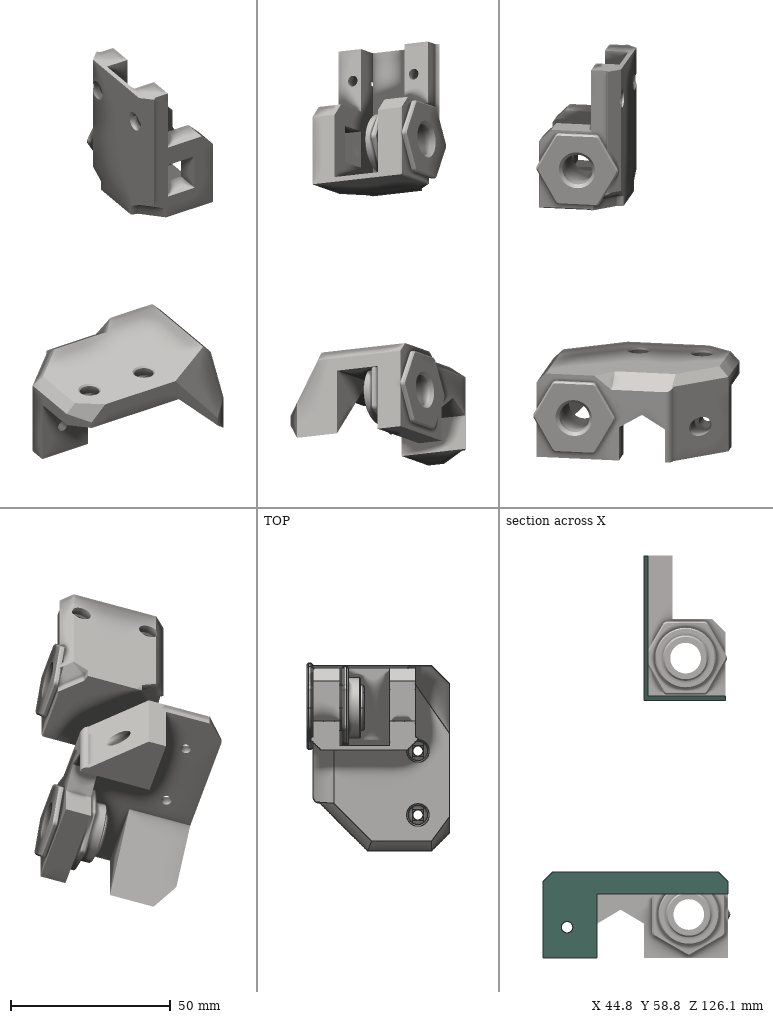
import cadquery as cq
import math

LARGE = 252.2
SCREW_HEAD_D = 6.0
SCREW_D = 3.4

HEX_FLATS = 23.0
HEX_CORNER_R = 1.6
HEX_BEVEL = 0.5
HEAD_THICKNESS = 1.9
SHANK_D = 14.2
SHANK_LENGTH = 16.1
SHANK_BEVEL = 0.5
BUSHING_BORE_D = 9.6
BUSHING_MOUTH_D = 11.6
NUT_START = 9.2
NUT_THICKNESS = 1.9
COLLAR_D = 19.0
COLLAR_LENGTH = 3.9
COLLAR_BEVEL = 0.4
COLLAR_END = NUT_START + NUT_THICKNESS + COLLAR_LENGTH
LOWER_NUT_TURN = 30
UPPER_NUT_TURN = 0

LOWER_LENGTH = 42.9
LOWER_DEPTH = 58.0
LOWER_HEIGHT = 27.1
LOWER_AXIS_Y = 45.8
LOWER_AXIS_Z = 13.6
PLATE_UNDERSIDE = 20.0
LOWER_WALL = 8.2
LEG_LENGTH = 22.8
LEG_CORNER = 17.1
LEG_ROUND_R = 2.3
LEG_INNER_Y = 17.0
END_CORNER = 5.7
TOP_CHAMFER = 3.0
SIDE_SLOPE_WIDTH = 6.5
SIDE_SLOPE_DROP = 4.3
SIDE_SLOPE_END_Y = 34.2
SIDE_BLEND_END_Y = 39.6
NOTCH_OUTER_Y = 31.8
NOTCH_SIDE_Z = 10.7
NOTCH_PEAK_Z = 15.1
FRONT_FACET_RUN = 7.7
REAR_FACET_START_X = 28.0
REAR_FACET_WALL_X = 29.8
REAR_FACET_END_Y = 36.7
PLATE_HOLE_X = 32.9
PLATE_HOLE_YS = (11.2, 31.3)
PLATE_HOLE_MOUTH_D = 7.0
PLATE_HOLE_D = 3.2
PLATE_HEAD_DEPTH = 3.2
BRIDGE_STEP = 0.3
LEG_HOLE_Y = 7.6
LEG_HOLE_Z = 9.7
LEG_HOLE_FLOOR_X = 16.4

UPPER_WIDTH = 32.2
UPPER_FRONT_Y = 31.5
UPPER_BACK_Y = 57.2
UPPER_BOTTOM = 80.7
UPPER_TOP = 126.1
BASE_TOP = 106.2
UPPER_AXIS_Y = 44.8
UPPER_AXIS_Z = 94.0
BASE_CHAMFER = 4.0
POST_BACK_Y = 40.6
POCKET_START_X = 8.5
POCKET_END_X = 24.1
PANEL_THICKNESS = 1.5
RAIL_OVERHANG = 1.0
RAIL_TIP_Y = 35.0
RAIL_STEP_Y = 35.8
RAIL_FRONT_X = 2.5
FOOT_SIDE_Y = 40.0
FOOT_KNEE = (6.5, 33.7)
FOOT_FRONT_X = 7.2
FOOT_TOP = 83.9
RAIL_ROOT_EDGE = 0.3
RAIL_BOTTOM = 86.8
FOOT_BEVEL = 0.4
UPPER_HOLE_OFFSET = 11.0
UPPER_HOLE_Z = 116.1
UPPER_HEAD_DEPTH = 2.5
WINDOW_HALF = 5.8


def block(x0, x1, y0, y1, z0, z1):
    """Axis-aligned box between the given limits."""
    return cq.Workplane("XY").box(x1 - x0, y1 - y0, z1 - z0, centered=False).translate((x0, y0, z0))


def along_x(profile, x0, x1):
    """Prism from x0 to x1 with a closed (y, z) profile."""
    return cq.Workplane("YZ", origin=(x0, 0, 0)).polyline(profile).close().extrude(x1 - x0)


def along_y(profile, y0, y1):
    """Prism from y0 to y1 with a closed (x, z) profile."""
    return cq.Workplane("XZ", origin=(0, y0, 0)).polyline(profile).close().extrude(y0 - y1)


def rod_x(diameter, x0, x1, y, z):
    """Cylinder parallel to X."""
    return cq.Workplane("YZ", origin=(x0, y, z)).circle(diameter / 2).extrude(x1 - x0)


def half_space(p1, p2, p3):
    """Large block on the side of the plane through three points that their order faces."""
    a, b, c = cq.Vector(*p1), cq.Vector(*p2), cq.Vector(*p3)
    plane = cq.Plane(origin=p1, xDir=b - a, normal=(b - a).cross(c - a))
    return cq.Workplane(plane).rect(LARGE, LARGE).extrude(LARGE)



def hex_prism(thickness, x0, y, z, turn=0):
    """Hexagon with rounded corners, one of them along Y before it is turned about X by some degrees."""
    return (
        cq.Workplane("YZ", origin=(x0, y, z))
        .transformed(rotate=(0, 0, turn))
        .polygon(6, HEX_FLATS / math.cos(math.pi / 6))
        .extrude(thickness)
        .edges("|X").fillet(HEX_CORNER_R)
    )


def hex_plate(thickness, x0, y, z, turn=0):
    """Hexagon with bevelled rims."""
    return hex_prism(thickness, x0, y, z, turn).faces("<X or >X").chamfer(HEX_BEVEL)


def bushing_half(y, z, side):
    """Half of a hex-headed bushing, on the side (+1 or -1) of the split along Y."""
    shank = rod_x(SHANK_D, 0, SHANK_LENGTH, y, z).faces(">X").chamfer(SHANK_BEVEL)
    whole = hex_plate(HEAD_THICKNESS, -HEAD_THICKNESS, y, z).union(shank)
    whole = whole.cut(rod_x(BUSHING_BORE_D, -HEAD_THICKNESS, SHANK_LENGTH, y, z))
    mouth_depth = (BUSHING_MOUTH_D - BUSHING_BORE_D) / 2
    mouth = cq.Solid.makeCone(
        BUSHING_MOUTH_D / 2, BUSHING_BORE_D / 2, mouth_depth,
        cq.Vector(-HEAD_THICKNESS, y, z), cq.Vector(1, 0, 0),
    )
    whole = whole.cut(cq.Workplane(mouth))
    y_limits = sorted((y, y + side * HEX_FLATS))
    keep = block(-HEAD_THICKNESS, SHANK_LENGTH, *y_limits, z - HEX_FLATS, z + HEX_FLATS)
    return whole.intersect(keep)


def make_nut(y, z, turn):
    """Hex nut with a round collar, on the bushing shank."""
    collar = rod_x(COLLAR_D, NUT_START, COLLAR_END, y, z).faces(">X").chamfer(COLLAR_BEVEL)
    nut = hex_plate(NUT_THICKNESS, NUT_START, y, z, turn).union(collar)
    return nut.cut(rod_x(SHANK_D, NUT_START, COLLAR_END, y, z))



def lower_outline():
    """Full-height prism of the bracket seen in plan."""
    round_mid = LEG_ROUND_R * (1 - math.cos(math.pi / 4))
    return (
        cq.Workplane("XY")
        .moveTo(0, LOWER_DEPTH)
        .lineTo(0, LEG_CORNER)
        .threePointArc(
            (round_mid, LEG_CORNER - LEG_ROUND_R + round_mid),
            (LEG_ROUND_R, LEG_CORNER - LEG_ROUND_R),
        )
        .lineTo(LEG_CORNER, 0)
        .lineTo(LOWER_LENGTH - END_CORNER, 0)
        .lineTo(LOWER_LENGTH, END_CORNER)
        .lineTo(LOWER_LENGTH, LOWER_DEPTH - END_CORNER)
        .lineTo(LOWER_LENGTH - END_CORNER, LOWER_DEPTH)
        .close()
        .extrude(LOWER_HEIGHT)
    )


def cut_underside(body):
    """Leave a wall, a leg and a 45 degree gusset under the top plate."""
    cavity = block(LOWER_WALL, LEG_LENGTH, LEG_INNER_Y, LOWER_DEPTH, 0, PLATE_UNDERSIDE)
    notch = along_x(
        [
            (LEG_INNER_Y, 0),
            (LEG_INNER_Y, NOTCH_SIDE_Z),
            ((LEG_INNER_Y + NOTCH_OUTER_Y) / 2, NOTCH_PEAK_Z),
            (NOTCH_OUTER_Y, NOTCH_SIDE_Z),
            (NOTCH_OUTER_Y, 0),
        ],
        0, LEG_LENGTH,
    )
    below_gusset = along_x(
        [(0, 0), (0, PLATE_UNDERSIDE), (LOWER_DEPTH - PLATE_UNDERSIDE, PLATE_UNDERSIDE), (LOWER_DEPTH, 0)],
        LEG_LENGTH, LOWER_LENGTH,
    )
    return body.cut(cavity).cut(notch).cut(below_gusset)


def cut_top_slopes(body):
    """Chamfers, end facets and the blended slope around the top face."""
    top = LOWER_HEIGHT
    drop = top - TOP_CHAMFER
    far_corner = LOWER_LENGTH - END_CORNER

    front = half_space((0, 0, drop), (1.3, 0, drop), (0, TOP_CHAMFER, top))
    rear = half_space((1.3, LOWER_DEPTH, drop), (0, LOWER_DEPTH, drop), (0, LOWER_DEPTH - TOP_CHAMFER, top))
    inset = TOP_CHAMFER / math.sqrt(2)
    leg_corner = half_space(
        (0, LEG_CORNER, drop), (LEG_CORNER, 0, drop), (inset, LEG_CORNER + inset, top)
    )
    front_facet = half_space(
        (far_corner, 0, drop),
        (LOWER_LENGTH, TOP_CHAMFER + FRONT_FACET_RUN, top),
        (far_corner, TOP_CHAMFER, top),
    )
    rear_facet = half_space(
        (REAR_FACET_WALL_X, LOWER_DEPTH, drop),
        (REAR_FACET_START_X, LOWER_DEPTH, top),
        (LOWER_LENGTH, REAR_FACET_END_Y, top),
    )
    slope = along_y(
        [(0, top - SIDE_SLOPE_DROP), (SIDE_SLOPE_WIDTH, top), (0, top)],
        0, SIDE_BLEND_END_Y,
    )
    blend = half_space(
        (0, SIDE_BLEND_END_Y, top),
        (0, SIDE_SLOPE_END_Y, top - SIDE_SLOPE_DROP),
        (SIDE_SLOPE_WIDTH, SIDE_SLOPE_END_Y, top),
    )
    for trim in (front, rear, leg_corner, front_facet, rear_facet, slope.intersect(blend)):
        body = body.cut(trim)
    return body


def plate_hole(y):
    """Screw hole through the plate: bevelled head recess, slot layer, square layer, hole."""
    floor = LOWER_HEIGHT - PLATE_HEAD_DEPTH
    start = cq.Workplane("XY", origin=(PLATE_HOLE_X, y, 0))
    head = start.workplane(offset=floor).circle(SCREW_HEAD_D / 2).extrude(PLATE_HEAD_DEPTH)
    bevel_depth = (PLATE_HOLE_MOUTH_D - SCREW_HEAD_D) / 2
    bevel = cq.Solid.makeCone(
        SCREW_HEAD_D / 2, PLATE_HOLE_MOUTH_D / 2, bevel_depth,
        cq.Vector(PLATE_HOLE_X, y, LOWER_HEIGHT - bevel_depth), cq.Vector(0, 0, 1),
    )
    slot = start.workplane(offset=floor - BRIDGE_STEP).rect(SCREW_D, SCREW_HEAD_D).extrude(BRIDGE_STEP)
    head_column = start.circle(SCREW_HEAD_D / 2).extrude(LOWER_HEIGHT)
    slot = slot.intersect(head_column)
    square = start.workplane(offset=floor - 2 * BRIDGE_STEP).rect(SCREW_D, SCREW_D).extrude(BRIDGE_STEP)
    through = start.circle(PLATE_HOLE_D / 2).extrude(LOWER_HEIGHT)
    return through.union(square).union(slot).union(head).union(cq.Workplane(bevel))


def make_lower_bracket():
    """Plate on a wall, a leg and a gusset, holding one bushing and its nut."""
    body = cut_top_slopes(cut_underside(lower_outline()))
    for y in PLATE_HOLE_YS:
        body = body.cut(plate_hole(y))
    body = body.cut(rod_x(SCREW_D, 0, LEG_LENGTH, LEG_HOLE_Y, LEG_HOLE_Z))
    body = body.cut(rod_x(SCREW_HEAD_D, 0, LEG_HOLE_FLOOR_X, LEG_HOLE_Y, LEG_HOLE_Z))
    body = body.cut(rod_x(SHANK_D, 0, SHANK_LENGTH, LOWER_AXIS_Y, LOWER_AXIS_Z))
    nut_recess = hex_prism(NUT_THICKNESS, NUT_START, LOWER_AXIS_Y, LOWER_AXIS_Z, LOWER_NUT_TURN)
    return body.cut(nut_recess).cut(rod_x(COLLAR_D, NUT_START, COLLAR_END, LOWER_AXIS_Y, LOWER_AXIS_Z))



def mirrored_outline(left_points):
    """Outline from the points of its left half, listed from back to front."""
    right_points = [(UPPER_WIDTH - x, y) for x, y in reversed(left_points)]
    return left_points + right_points


def prism(points, z0, z1):
    """Upright prism from z0 to z1 with a closed (x, y) outline."""
    return cq.Workplane("XY", origin=(0, 0, z0)).polyline(points).close().extrude(z1 - z0)


def make_back_plate():
    """Upright with angled, overhanging rail edges, tapering into a narrower foot."""
    rail = mirrored_outline([
        (0, POST_BACK_Y),
        (0, RAIL_STEP_Y),
        (-RAIL_OVERHANG, RAIL_TIP_Y),
        (RAIL_FRONT_X, UPPER_FRONT_Y),
    ])
    rail_root = mirrored_outline([
        (0, POST_BACK_Y),
        (0, UPPER_FRONT_Y + RAIL_FRONT_X),
        (RAIL_FRONT_X - RAIL_ROOT_EDGE, UPPER_FRONT_Y + RAIL_ROOT_EDGE),
        (RAIL_FRONT_X, UPPER_FRONT_Y),
    ])
    foot = mirrored_outline([
        (0, POST_BACK_Y),
        (0, FOOT_SIDE_Y),
        FOOT_KNEE,
        (FOOT_FRONT_X, UPPER_FRONT_Y),
    ])
    taper = (
        cq.Workplane("XY", origin=(0, 0, FOOT_TOP)).polyline(foot).close()
        .workplane(offset=RAIL_BOTTOM - FOOT_TOP).polyline(rail_root).close()
        .loft(ruled=True)
    )
    return prism(rail, RAIL_BOTTOM, UPPER_TOP).union(taper).union(prism(foot, UPPER_BOTTOM, FOOT_TOP))


def make_base():
    """Block behind the upright, with a chamfered rear top edge and a bevelled left face."""
    profile = [
        (POST_BACK_Y, UPPER_BOTTOM),
        (UPPER_BACK_Y, UPPER_BOTTOM),
        (UPPER_BACK_Y, BASE_TOP - BASE_CHAMFER),
        (UPPER_BACK_Y - BASE_CHAMFER, BASE_TOP),
        (POST_BACK_Y, BASE_TOP),
    ]
    return along_x(profile, 0, UPPER_WIDTH).faces("<X").edges("<Z or >Y").chamfer(FOOT_BEVEL)


def make_upper_bracket():
    """Upright on a hollow base, holding one bushing and its nut."""
    body = make_back_plate().union(make_base())
    body = body.cut(block(
        POCKET_START_X, POCKET_END_X,
        UPPER_FRONT_Y + PANEL_THICKNESS, UPPER_BACK_Y,
        UPPER_BOTTOM + PANEL_THICKNESS, UPPER_TOP,
    ))
    body = body.cut(rod_x(SHANK_D, 0, POCKET_START_X, UPPER_AXIS_Y, UPPER_AXIS_Z))
    body = body.cut(block(
        POCKET_END_X, UPPER_WIDTH + RAIL_OVERHANG,
        POST_BACK_Y, UPPER_AXIS_Y + WINDOW_HALF,
        UPPER_AXIS_Z - WINDOW_HALF, UPPER_AXIS_Z + WINDOW_HALF,
    ))
    body = body.cut(hex_prism(NUT_THICKNESS, NUT_START, UPPER_AXIS_Y, UPPER_AXIS_Z, UPPER_NUT_TURN))
    body = body.cut(hex_prism(HEAD_THICKNESS, -HEAD_THICKNESS, UPPER_AXIS_Y, UPPER_AXIS_Z))
    for x in (UPPER_WIDTH / 2 - UPPER_HOLE_OFFSET, UPPER_WIDTH / 2 + UPPER_HOLE_OFFSET):
        start = cq.Workplane("XZ", origin=(x, UPPER_FRONT_Y, UPPER_HOLE_Z))
        body = body.cut(start.circle(SCREW_D / 2).extrude(UPPER_FRONT_Y - POST_BACK_Y))
        body = body.cut(start.circle(SCREW_HEAD_D / 2).extrude(-UPPER_HEAD_DEPTH))
    return body


lower_bracket = make_lower_bracket()
upper_bracket = make_upper_bracket()
bushing_halves = [
    bushing_half(y, z, side)
    for y, z in ((LOWER_AXIS_Y, LOWER_AXIS_Z), (UPPER_AXIS_Y, UPPER_AXIS_Z))
    for side in (1, -1)
]
nuts = [
    make_nut(y, z, turn)
    for y, z, turn in (
        (LOWER_AXIS_Y, LOWER_AXIS_Z, LOWER_NUT_TURN),
        (UPPER_AXIS_Y, UPPER_AXIS_Z, UPPER_NUT_TURN),
    )
]

result = cq.Compound.makeCompound([
    lower_bracket.val(),
    upper_bracket.val(),
    *[half.val() for half in bushing_halves],
    *[nut.val() for nut in nuts],
])